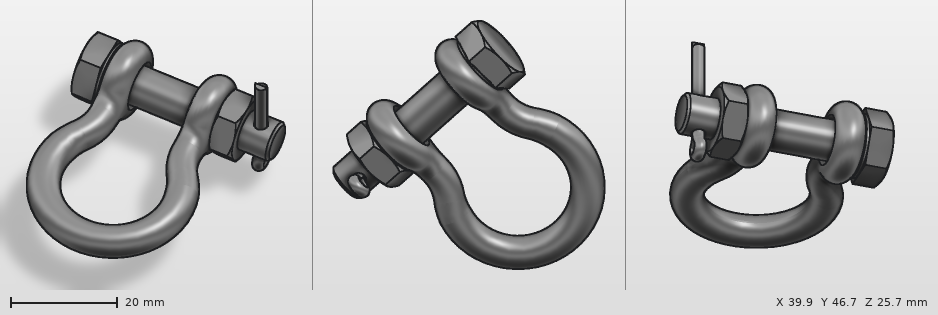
import cadquery as cq
import math


EYE_SPACING = 17.65
EYE_RADIUS = 7.85
EYE_HOLE_RADIUS = 4.8
WIRE_WIDTH = 5.8
BOW_WIRE_WIDTH = 6.35
PARTING_FLAT = 0.37
BLEND_RADIUS = 3.75
OVERALL_LENGTH = 46.7
BOW_INNER_RADIUS = 9.85

RIM_RADIUS = WIRE_WIDTH / 2
WIRE_HEIGHT = WIRE_WIDTH + PARTING_FLAT
SHANK_X = EYE_SPACING / 2
EYE_FACE_X = SHANK_X + RIM_RADIUS
BOW_RADIUS = BOW_INNER_RADIUS + BOW_WIRE_WIDTH / 2
BOW_CENTRE_Y = EYE_RADIUS + BOW_INNER_RADIUS + BOW_WIRE_WIDTH - OVERALL_LENGTH

SHAFT_RADIUS = 3.9
SHAFT_END_X = 22.85
SHAFT_CHAMFER = 0.5
COLLAR_RADIUS = 6.15
COLLAR_THICKNESS = 0.55
HEX_HEIGHT = 4.75
HEX_CHAMFER_ANGLE = 30.0
HEAD_ACROSS_FLATS = 12.5
NUT_ACROSS_FLATS = 12.25
HEAD_X = -EYE_FACE_X - COLLAR_THICKNESS
COTTER_HOLE_RADIUS = 1.35

COTTER_X = 19.5
COTTER_WIRE_RADIUS = 1.15
LEG_GAP = 0.1
LONG_LEG_TOP_Z = 16.05
LEG_STEP = 1.05
COTTER_BOTTOM_Z = -9.6
LOOP_INNER_RADIUS = 1.25
LOOP_BEND_RADIUS = 3.0


def polar(centre, radius, angle):
    """Point at an angle in radians around a centre."""
    return (centre[0] + radius * math.cos(angle), centre[1] + radius * math.sin(angle))


def eye():
    """Round disc with a fully rounded rim, its bore still to be cut."""
    rim_centre = EYE_RADIUS - RIM_RADIUS
    profile = (
        cq.Workplane("XY")
        .moveTo(-RIM_RADIUS, 0)
        .lineTo(-RIM_RADIUS, rim_centre)
        .threePointArc((0, EYE_RADIUS), (RIM_RADIUS, rim_centre))
        .lineTo(RIM_RADIUS, 0)
        .close()
    )
    return profile.revolve(360, (0, 0), (1, 0)).translate((SHANK_X, 0, 0))


BLEND_Z = WIRE_HEIGHT / 2 + BLEND_RADIUS
BLEND_Y = -math.sqrt((EYE_RADIUS + BLEND_RADIUS) ** 2 - BLEND_Z**2)
BLEND_ANGLE = math.atan2(BLEND_Z, -BLEND_Y)


def neck():
    """Two round rims that leave the eye and merge into the shank, with a web between them."""
    rim_path_radius = BLEND_RADIUS + RIM_RADIUS
    upper_centre = (BLEND_Y, BLEND_Z)
    at_eye = polar(upper_centre, rim_path_radius, -BLEND_ANGLE)
    halfway = polar(upper_centre, rim_path_radius, -(BLEND_ANGLE + math.pi / 2) / 2)
    at_shank = (BLEND_Y, PARTING_FLAT / 2)

    web = (
        cq.Workplane("YZ")
        .moveTo(*at_eye)
        .threePointArc(halfway, at_shank)
        .lineTo(at_shank[0], -at_shank[1])
        .threePointArc((halfway[0], -halfway[1]), (at_eye[0], -at_eye[1]))
        .close()
        .extrude(RIM_RADIUS, both=True)
    )
    upper_rim = (
        cq.Workplane("XZ", origin=(0, BLEND_Y, PARTING_FLAT / 2))
        .moveTo(-RIM_RADIUS, 0)
        .threePointArc((0, RIM_RADIUS), (RIM_RADIUS, 0))
        .close()
        .revolve(math.degrees(math.pi / 2 - BLEND_ANGLE), (-0.45, rim_path_radius), (0.45, rim_path_radius))
    )
    body = web.union(upper_rim).union(upper_rim.mirror("XY"))
    return body.translate((SHANK_X, 0, 0))


BEND_DROP = BLEND_Y - BOW_CENTRE_Y
BEND_RADIUS = (SHANK_X**2 + BEND_DROP**2 - BOW_RADIUS**2) / (2 * (BOW_RADIUS - SHANK_X))
BEND_CENTRE = (SHANK_X + BEND_RADIUS, BLEND_Y)
BEND_ANGLE = math.atan2(BEND_DROP, BEND_CENTRE[0])
BOW_CENTRE = (0, BOW_CENTRE_Y)
WIDE_ANGLE = BEND_ANGLE / 2


def wire_section(workplane, width):
    """Two arcs joined by a narrow flat on each side; local x is across the bow, local y is Z."""
    side = width / 2
    flat = PARTING_FLAT / 2
    return (
        workplane.moveTo(-side, -flat)
        .lineTo(-side, flat)
        .threePointArc((0, WIRE_HEIGHT / 2), (side, flat))
        .lineTo(side, -flat)
        .threePointArc((0, -WIRE_HEIGHT / 2), (-side, -flat))
        .close()
    )


def across_wire(point, angle):
    """Section plane at a point of the wire, with local x at an angle to +X in the XY plane."""
    along_x = (math.cos(angle), math.sin(angle), 0)
    normal = (math.sin(angle), -math.cos(angle), 0)
    return cq.Workplane(cq.Plane((*point, 0), along_x, normal))


def bend():
    """Outward bend of the shank, at constant section."""
    top = (SHANK_X, BLEND_Y)
    middle = polar(BEND_CENTRE, BEND_RADIUS, math.pi + BEND_ANGLE / 2)
    end = polar(BOW_CENTRE, BOW_RADIUS, BEND_ANGLE)
    path = cq.Workplane("XY").moveTo(*top).threePointArc(middle, end)
    return wire_section(across_wire(top, 0), WIRE_WIDTH).sweep(path)


def shoulder():
    """Upper end of the bow, where the wire widens."""
    start = polar(BOW_CENTRE, BOW_RADIUS, BEND_ANGLE)
    middle = polar(BOW_CENTRE, BOW_RADIUS, (BEND_ANGLE + WIDE_ANGLE) / 2)
    end = polar(BOW_CENTRE, BOW_RADIUS, WIDE_ANGLE)
    path = cq.Workplane("XY").moveTo(*start).threePointArc(middle, end)
    sections = wire_section(across_wire(start, BEND_ANGLE), WIRE_WIDTH)
    wide_end = wire_section(across_wire(end, WIDE_ANGLE), BOW_WIRE_WIDTH)
    sections.ctx.pendingWires.extend(wide_end.ctx.pendingWires)
    return sections.sweep(path, multisection=True)


def round_bow():
    """Long arc of constant wire width from one shoulder around to the other."""
    start = polar(BOW_CENTRE, BOW_RADIUS, WIDE_ANGLE)
    section = wire_section(across_wire(start, WIDE_ANGLE), BOW_WIRE_WIDTH)
    turn = 180 + 2 * math.degrees(WIDE_ANGLE)
    return section.revolve(turn, (-BOW_RADIUS, 0), (-BOW_RADIUS, -1))


def bow():
    """Both eyes with their necks and bends, joined by the round bow, with the eyes bored."""
    side = eye().union(neck()).union(bend()).union(shoulder())
    body = side.union(side.mirror("YZ")).union(round_bow())
    bore = cq.Workplane("YZ").circle(EYE_HOLE_RADIUS).extrude(EYE_FACE_X, both=True)
    return body.cut(bore)


def hexagon(across_flats, outer_chamfer_only):
    """Hexagonal prism from x = 0 to HEX_HEIGHT, flats up and down, corners turned to a cone."""
    inscribed = across_flats / 2
    corner = inscribed / math.cos(math.pi / 6)
    chamfer = (corner - inscribed) * math.tan(math.radians(HEX_CHAMFER_ANGLE))
    envelope = cq.Workplane("XY").lineTo(0, inscribed).lineTo(chamfer, corner)
    if outer_chamfer_only:
        envelope = envelope.lineTo(HEX_HEIGHT, corner)
    else:
        envelope = envelope.lineTo(HEX_HEIGHT - chamfer, corner).lineTo(HEX_HEIGHT, inscribed)
    envelope = envelope.lineTo(HEX_HEIGHT, 0).close().revolve(360, (0, 0), (1, 0))
    return cq.Workplane("YZ").polygon(6, 2 * corner).extrude(HEX_HEIGHT).intersect(envelope)


def bolt():
    """Hexagon head, collar and shaft, with the cross hole for the cotter pin."""
    head = hexagon(HEAD_ACROSS_FLATS, True).translate((HEAD_X - HEX_HEIGHT, 0, 0))
    collar = cq.Workplane("YZ", origin=(HEAD_X, 0, 0)).circle(COLLAR_RADIUS).extrude(COLLAR_THICKNESS)
    shaft = (
        cq.Workplane("YZ", origin=(HEAD_X, 0, 0))
        .circle(SHAFT_RADIUS)
        .extrude(SHAFT_END_X - HEAD_X)
        .faces(">X")
        .chamfer(SHAFT_CHAMFER)
    )
    cross_hole = (
        cq.Workplane("XY")
        .center(COTTER_X, 0)
        .circle(COTTER_HOLE_RADIUS)
        .extrude(SHAFT_RADIUS, both=True)
    )
    return head.union(collar).union(shaft).cut(cross_hole)


def nut():
    """Hexagon nut against the outer face of the +X eye."""
    return hexagon(NUT_ACROSS_FLATS, False).translate((EYE_FACE_X, 0, 0))


def cotter_pin():
    """Half-round wire folded back on itself: two straight legs and a loop below the bolt."""
    leg_y = LEG_GAP / 2
    loop_z = COTTER_BOTTOM_Z + COTTER_WIRE_RADIUS + LOOP_INNER_RADIUS
    bend_y = leg_y + LOOP_BEND_RADIUS
    bend_rise = math.sqrt((LOOP_BEND_RADIUS + LOOP_INNER_RADIUS) ** 2 - bend_y**2)
    bend_centre = (-bend_y, loop_z + bend_rise)
    turn = math.atan2(bend_rise, bend_y)
    bend_middle = polar(bend_centre, LOOP_BEND_RADIUS, -turn / 2)
    loop_start = polar(bend_centre, LOOP_BEND_RADIUS, -turn)

    path = (
        cq.Workplane("YZ", origin=(COTTER_X, 0, 0))
        .moveTo(-leg_y, LONG_LEG_TOP_Z)
        .lineTo(-leg_y, bend_centre[1])
        .threePointArc(bend_middle, loop_start)
        .threePointArc((0, loop_z - LOOP_INNER_RADIUS), (-loop_start[0], loop_start[1]))
        .threePointArc((-bend_middle[0], bend_middle[1]), (leg_y, bend_centre[1]))
        .lineTo(leg_y, LONG_LEG_TOP_Z - LEG_STEP)
    )
    half_round = (
        cq.Workplane("XY", origin=(COTTER_X, -leg_y, LONG_LEG_TOP_Z))
        .moveTo(-COTTER_WIRE_RADIUS, 0)
        .threePointArc((0, -COTTER_WIRE_RADIUS), (COTTER_WIRE_RADIUS, 0))
        .close()
    )
    return half_round.sweep(path)


shackle = bow().union(bolt()).union(nut())
cotter = cotter_pin()
result = cq.Compound.makeCompound([shackle.val(), cotter.val()])